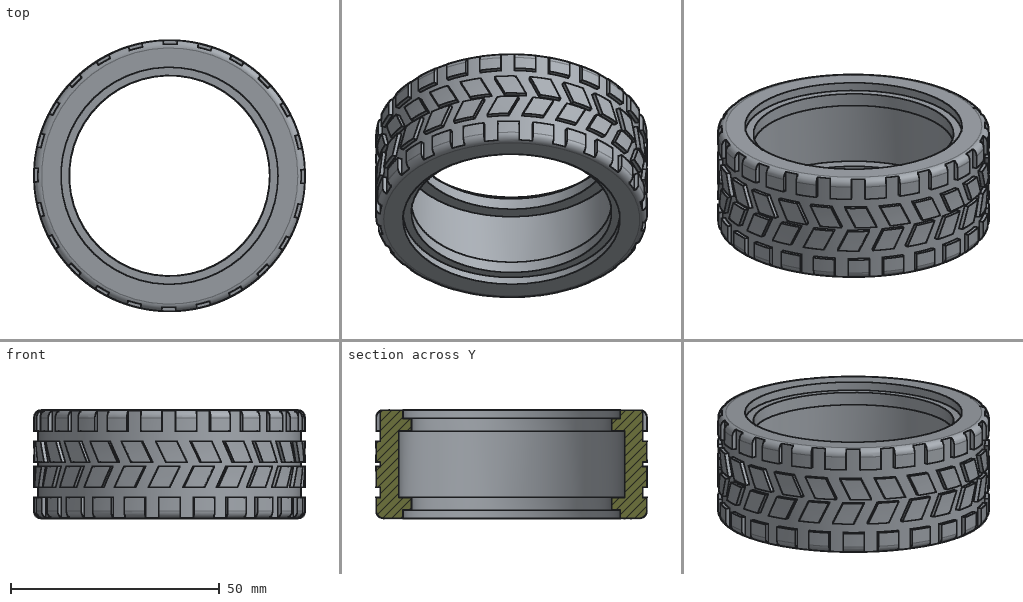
import cadquery as cq

outer_radius = 32.5
width = 26.0
shoulder_radius = 1.8

tread_depth = 1.0
blocks_per_row = 24
block_size = 5.1
block_skew = 2.5
centre_groove = 1.0

recess_radius = 26.0
recess_depth = 2.0
lip_radius = 24.0
lip_thickness = 3.05
channel_radius = 27.05

upper_shoulder_angle = 7.2
upper_chevron_angle = 0.8
lower_chevron_angle = -2.3
lower_shoulder_angle = 0.0

core_radius = outer_radius - tread_depth

overlap = 0.65
groove_outer_radius = outer_radius + overlap
block_root_radius = core_radius - overlap
block_tip_radius = groove_outer_radius + overlap

shoulder_row_height = (width - block_size) / 2
chevron_row_height = (centre_groove + block_size) / 2


def centred_disc(radius, height):
    return cq.Workplane("XY").circle(radius).extrude(height / 2, both=True)


def tread_row(row_height, start_angle, skew):
    """Ring of tread blocks; skew is how far the top edge of a block sits beyond its bottom edge."""
    low = row_height - block_size / 2
    high = row_height + block_size / 2
    half_size = block_size / 2
    half_skew = skew / 2
    block = (
        cq.Workplane("XZ", origin=(0, -block_root_radius, 0))
        .moveTo(-half_size - half_skew, low)
        .lineTo(half_size - half_skew, low)
        .lineTo(half_size + half_skew, high)
        .lineTo(-half_size + half_skew, high)
        .close()
        .extrude(block_tip_radius - block_root_radius)
    )
    pitch_angle = 360 / blocks_per_row
    return [
        block.rotate((0, 0, 0), (0, 0, 1), start_angle + index * pitch_angle).val()
        for index in range(blocks_per_row)
    ]


def tread_grooves():
    """Tube one tread depth thick, with the tread blocks left out of it."""
    blocks = (
        tread_row(shoulder_row_height, upper_shoulder_angle, 0)
        + tread_row(chevron_row_height, upper_chevron_angle, -block_skew)
        + tread_row(-chevron_row_height, lower_chevron_angle, block_skew)
        + tread_row(-shoulder_row_height, lower_shoulder_angle, 0)
    )
    tube = centred_disc(groove_outer_radius, width).cut(centred_disc(core_radius, width))
    return cq.Workplane("XY").newObject([tube.val().cut(*blocks)])


def bore():
    lip_end_height = width / 2 - recess_depth
    channel_half_width = lip_end_height - lip_thickness
    through_hole = centred_disc(lip_radius, width)
    channel = centred_disc(channel_radius, 2 * channel_half_width)
    recesses = centred_disc(recess_radius, width).cut(centred_disc(recess_radius, 2 * lip_end_height))
    return through_hole.union(channel).union(recesses)


tyre_blank = centred_disc(outer_radius, width).edges().fillet(shoulder_radius)
result = tyre_blank.cut(tread_grooves()).cut(bore())